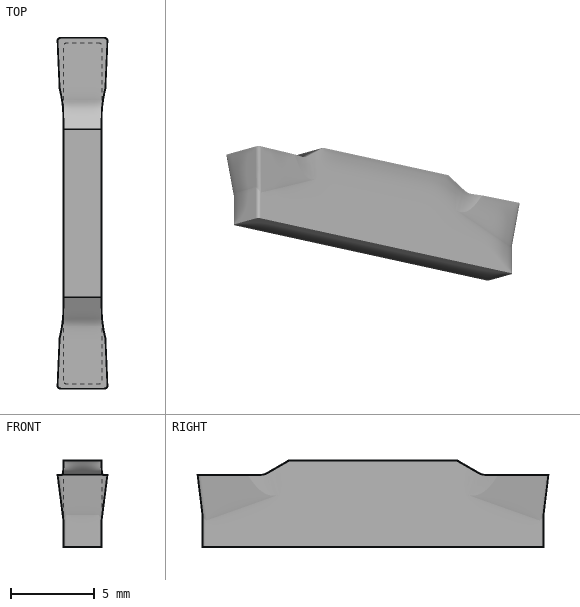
import cadquery as cq
import math

LENGTH = 21.0
CUTTING_WIDTH = 3.0
HEIGHT = 5.2

SHANK_WIDTH = 2.3
END_INSET = 0.295

RAKE_HEIGHT = 4.33
RAKE_LENGTH = 3.74
RAMP_ANGLE = math.radians(30)
RAMP_RADIUS = 0.9

HEAD_LENGTH = 4.88
HEAD_BOTTOM = 1.0
RELIEF = math.tan(math.radians(7))
BACK_TAPER = math.tan(math.radians(2.5))
CORNER_RADIUS = 0.2
NECK_RADIUS = 7.8

HALF_LENGTH = LENGTH / 2
SHARP_HALF_WIDTH = CUTTING_WIDTH / 2 + BACK_TAPER * CORNER_RADIUS
HALF_SHANK_WIDTH = SHANK_WIDTH / 2
NECK_Y = HEAD_LENGTH - HALF_LENGTH


def make_shank():
    """Plain bar of full height with rounded end corners."""
    bar = cq.Workplane("XY").box(
        SHANK_WIDTH, LENGTH - 2 * END_INSET, HEIGHT, centered=(True, True, False)
    )
    return bar.edges("|Z").fillet(CORNER_RADIUS)


def head_section(z):
    """Corner points of the head at height z, before the neck is blended."""
    depth = RAKE_HEIGHT - z
    end_y = RELIEF * depth - HALF_LENGTH

    def half_width(y):
        return SHARP_HALF_WIDTH - RELIEF * depth - BACK_TAPER * (y + HALF_LENGTH)

    front = half_width(end_y)
    back = half_width(NECK_Y)
    return [(-front, end_y), (front, end_y), (back, NECK_Y), (-back, NECK_Y)]


def make_neck_envelope():
    """Upright prism whose concave sides run tangent into the shank sides."""
    outer_x = CUTTING_WIDTH
    outer_y = -LENGTH
    sweep = math.acos(1 - (SHARP_HALF_WIDTH - HALF_SHANK_WIDTH) / NECK_RADIUS)

    def arc_point(angle, side):
        x = HALF_SHANK_WIDTH + NECK_RADIUS * (1 - math.cos(angle))
        return (side * x, NECK_Y - NECK_RADIUS * math.sin(angle))

    start_y = arc_point(sweep, 1)[1]
    return (
        cq.Workplane("XY")
        .moveTo(*arc_point(0, 1))
        .threePointArc(arc_point(sweep / 2, 1), arc_point(sweep, 1))
        .lineTo(outer_x, start_y)
        .lineTo(outer_x, outer_y)
        .lineTo(-outer_x, outer_y)
        .lineTo(-outer_x, start_y)
        .lineTo(*arc_point(sweep, -1))
        .threePointArc(arc_point(sweep / 2, -1), arc_point(0, -1))
        .close()
        .extrude(HEIGHT)
    )


def make_head():
    """Cutting head at the -Y end, relieved on its end and both sides."""
    block = (
        cq.Workplane("XY", origin=(0, 0, HEAD_BOTTOM))
        .polyline(head_section(HEAD_BOTTOM))
        .close()
        .workplane(offset=HEIGHT - HEAD_BOTTOM)
        .polyline(head_section(HEIGHT))
        .close()
        .loft(ruled=True)
    )
    end_corners = block.faces("<Y").edges("not #Z")
    rounded = end_corners.fillet(CORNER_RADIUS)
    return rounded.intersect(make_neck_envelope())


def make_rake_cutter():
    """Material above the rake face and ramp at the -Y end."""
    rake_end_y = RAKE_LENGTH - HALF_LENGTH

    def arc_point(angle):
        y = rake_end_y + RAMP_RADIUS * math.sin(angle)
        return (y, RAKE_HEIGHT + RAMP_RADIUS * (1 - math.cos(angle)))

    ramp_start = arc_point(RAMP_ANGLE)
    ramp_end_y = ramp_start[0] + (HEIGHT - ramp_start[1]) / math.tan(RAMP_ANGLE)
    return (
        cq.Workplane("YZ")
        .moveTo(-LENGTH, RAKE_HEIGHT)
        .lineTo(rake_end_y, RAKE_HEIGHT)
        .threePointArc(arc_point(RAMP_ANGLE / 2), ramp_start)
        .lineTo(ramp_end_y, HEIGHT)
        .lineTo(-LENGTH, HEIGHT)
        .close()
        .extrude(CUTTING_WIDTH, both=True)
    )


head = make_head()
rake_cutter = make_rake_cutter()

insert = make_shank()
for turn in (0, 180):
    axis_turn = ((0, 0, 0), (0, 0, 1), turn)
    insert = insert.union(head.rotate(*axis_turn)).cut(rake_cutter.rotate(*axis_turn))

result = insert.solids()